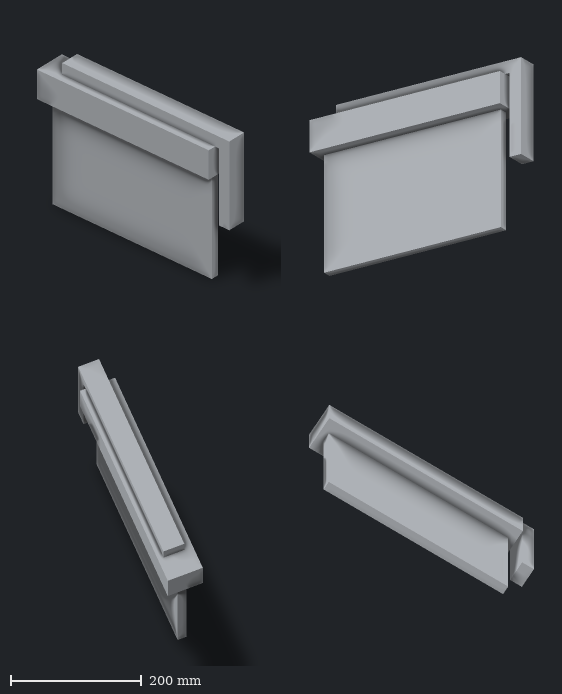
import cadquery as cq

total_length = 379.0
total_height = 270.0

head_length = 350.0
head_depth = 58.0
head_height = 53.5

panel_length = 324.5
panel_thickness = 14.8

arm_start = 39.0
arm_thickness = 21.2
arm_depth = 34.5
arm_back_inset = 9.0
leg_drop = 160.7

head_top = total_height - arm_thickness
head_bottom = head_top - head_height
arm_back = head_depth / 2 - arm_back_inset


def make_block(length, depth, height, start, bottom):
    """Block centred on the mid-plane, placed by its low X end and its underside."""
    block = cq.Workplane("XY").box(length, depth, height, centered=(False, True, False))
    return block.translate((start, 0, bottom))


def make_head():
    return make_block(head_length, head_depth, head_height, 0, head_bottom)


def make_panel():
    panel_start = (head_length - panel_length) / 2
    return make_block(panel_length, panel_thickness, head_bottom, panel_start, 0)


def make_arm():
    leg_inner = total_length - arm_thickness
    leg_bottom = total_height - leg_drop
    outline = [
        (arm_start, total_height),
        (total_length, total_height),
        (total_length, leg_bottom),
        (leg_inner, leg_bottom),
        (leg_inner, head_top),
        (arm_start, head_top),
    ]
    return cq.Workplane("XZ", origin=(0, arm_back, 0)).polyline(outline).close().extrude(arm_depth)


result = make_head().union(make_panel()).union(make_arm())